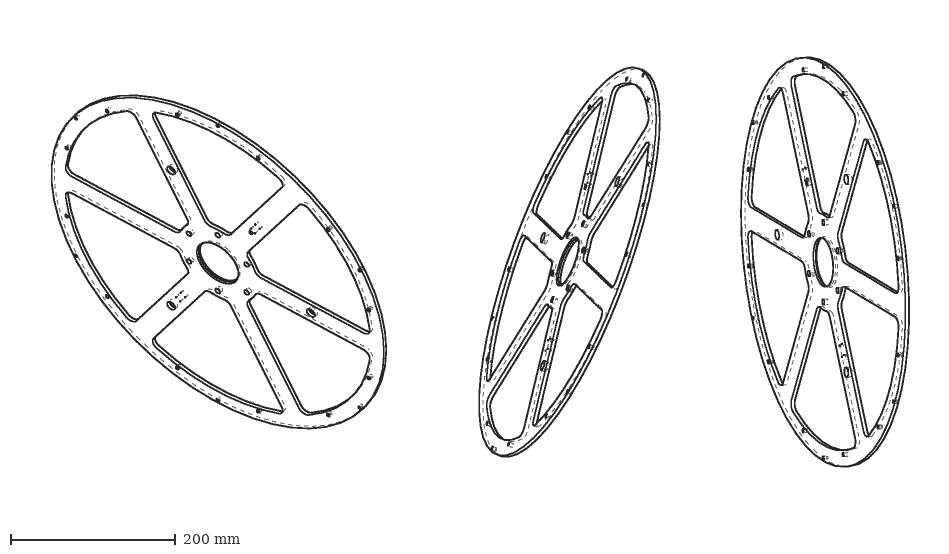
import cadquery as cq
import math

outer_diameter = 500.0
thickness = 5.0
rim_inner_radius = 230.0

hub_radius = 60.0
bore_diameter = 60.0
bore_chamfer = 1.25
bore_chamfer_depth = 2.0

spoke_count = 6
spoke_width = 30.0
window_corner_radius = 10.0

hub_hole_circle_radius = 50.0
hub_hole_diameter = 7.0
outer_rim_hole_diameter = 4.0
inner_rim_hole_diameter = 4.5
outer_rim_hole_count = 6
outer_rim_hole_circle_radius = 246.0
inner_rim_hole_count = 12
inner_rim_hole_circle_radius = 235.0

spoke_hole_radius = 140.0
spoke_hole_diameter = 12.0
spoke_hole_angles = (0, 120, 240)
cable_hole_radius = 100.0
cable_hole_diameter = 5.0
cable_hole_angle = 60

screw_group_angles = (60, 240)
screw_group_radius = 112.0
screw_group_length = 14.0
screw_group_width = 7.5
screw_hole_diameter = 1.0

spoke_pitch = 360 / spoke_count


def front_plane():
    """Sketch plane on the front face; its normal points toward -Y."""
    return cq.Workplane("XZ", origin=(0, -thickness / 2, 0))


def polar(radius, angle, sideways=0.0):
    """Point at a radius along a direction, shifted sideways from that direction."""
    a = math.radians(angle)
    return (
        radius * math.cos(a) - sideways * math.sin(a),
        radius * math.sin(a) + sideways * math.cos(a),
    )


def cut_holes(plate, points, diameter):
    """Cut through holes parallel to Y at the given points."""
    cutter = front_plane().pushPoints(points).circle(diameter / 2).extrude(-thickness)
    return plate.cut(cutter)


def circle_points(count, radius, first_angle):
    """Points evenly spaced around a circle on the plate axis."""
    return [polar(radius, first_angle + i * 360 / count) for i in range(count)]


def window():
    """Rounded opening between the spoke at 0 degrees and the next one."""
    half_width = spoke_width / 2
    hub_reach = math.sqrt(hub_radius**2 - half_width**2)
    rim_reach = math.sqrt(rim_inner_radius**2 - half_width**2)
    middle = spoke_pitch / 2
    outline = (
        front_plane()
        .moveTo(*polar(hub_reach, 0, half_width))
        .lineTo(*polar(rim_reach, 0, half_width))
        .threePointArc(
            polar(rim_inner_radius, middle),
            polar(rim_reach, spoke_pitch, -half_width),
        )
        .lineTo(*polar(hub_reach, spoke_pitch, -half_width))
        .threePointArc(
            polar(hub_radius, middle),
            polar(hub_reach, 0, half_width),
        )
        .close()
    )
    return outline.extrude(-thickness).edges("|Y").fillet(window_corner_radius)


result = front_plane().circle(outer_diameter / 2).extrude(-thickness)
spoke_window = window()
for i in range(spoke_count):
    result = result.cut(spoke_window.rotate((0, 0, 0), (0, 1, 0), i * spoke_pitch))

result = cut_holes(result, [(0, 0)], bore_diameter)
bore_cone = cq.Solid.makeCone(
    bore_diameter / 2 + bore_chamfer,
    bore_diameter / 2,
    bore_chamfer_depth,
    pnt=cq.Vector(0, -thickness / 2, 0),
    dir=cq.Vector(0, 1, 0),
)
result = result.cut(cq.Workplane(bore_cone))

hub_points = circle_points(spoke_count, hub_hole_circle_radius, spoke_pitch / 2)
result = cut_holes(result, hub_points, hub_hole_diameter)
outer_rim_points = circle_points(outer_rim_hole_count, outer_rim_hole_circle_radius, spoke_pitch / 2)
inner_rim_points = circle_points(inner_rim_hole_count, inner_rim_hole_circle_radius, spoke_pitch / 4)
result = cut_holes(result, outer_rim_points, outer_rim_hole_diameter)
result = cut_holes(result, inner_rim_points, inner_rim_hole_diameter)

spoke_hole_points = [polar(spoke_hole_radius, angle) for angle in spoke_hole_angles]
result = cut_holes(result, spoke_hole_points, spoke_hole_diameter)
result = cut_holes(result, [polar(cable_hole_radius, cable_hole_angle)], cable_hole_diameter)

screw_points = [
    polar(screw_group_radius + along * screw_group_length / 2, angle, side * screw_group_width / 2)
    for angle in screw_group_angles
    for along in (-1, 1)
    for side in (-1, 1)
]
result = cut_holes(result, screw_points, screw_hole_diameter)